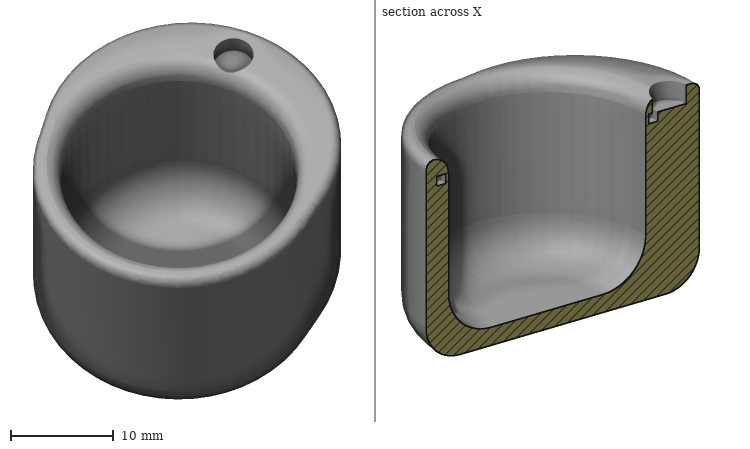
import cadquery as cq

total_height = 22.0
total_length = 31.98

rear_radius = 14.57
front_radius = 14.17
lobe_spacing = total_length - rear_radius - front_radius
waist_blend_radius = 55.0
base_fillet = 4.0
rim_fillet = 1.0

bore_diameter = 23.0
floor_thickness = 2.0
bore_floor_fillet = 5.0
bore_lip_fillet = 2.0

hole_diameter = 3.9
hole_depth = 2.0
hole_offset = 14.25

channel_inner_diameter = 23.8
channel_outer_diameter = 25.8
channel_height = (channel_outer_diameter - channel_inner_diameter) / 2


def make_body():
    """Two-lobed block with blended waists and a rounded base."""
    front_lobe = cq.Workplane("XY").circle(front_radius).extrude(total_height)
    rear_lobe = cq.Workplane("XY").center(0, lobe_spacing).circle(rear_radius).extrude(total_height)
    waists = cq.selectors.BoxSelector(
        (-rear_radius, -lobe_spacing, 0),
        (rear_radius, lobe_spacing / 2, total_height),
    )
    body = front_lobe.union(rear_lobe)
    body = body.edges("|Z").edges(waists).fillet(waist_blend_radius)
    return body.faces("<Z").edges().fillet(base_fillet)


def make_bore():
    """Cup cavity with a rounded bottom."""
    bore = (
        cq.Workplane("XY")
        .workplane(offset=floor_thickness)
        .circle(bore_diameter / 2)
        .extrude(total_height - floor_thickness)
    )
    return bore.faces("<Z").edges().fillet(bore_floor_fillet)


def round_rim(cup):
    """Round the bore lip first, so the outer rounding runs into it on the thin wall."""
    smallest_circle = cq.selectors.RadiusNthSelector(0)
    cup = cup.faces(">Z").edges("%CIRCLE").edges(smallest_circle).fillet(bore_lip_fillet)
    outline = cup.faces(">Z").val().outerWire().Edges()
    return cup.newObject(outline).fillet(rim_fillet)


def make_hole():
    """Blind hole sunk from the top face."""
    return (
        cq.Workplane("XY")
        .workplane(offset=total_height - hole_depth)
        .center(0, hole_offset)
        .circle(hole_diameter / 2)
        .extrude(hole_depth)
    )


def make_channel():
    """Square-section ring whose top is level with the blind hole's floor."""
    return (
        cq.Workplane("XY")
        .workplane(offset=total_height - hole_depth - channel_height)
        .circle(channel_outer_diameter / 2)
        .circle(channel_inner_diameter / 2)
        .extrude(channel_height)
    )


cup = round_rim(make_body().cut(make_bore()))
result = cup.cut(make_hole().union(make_channel()))